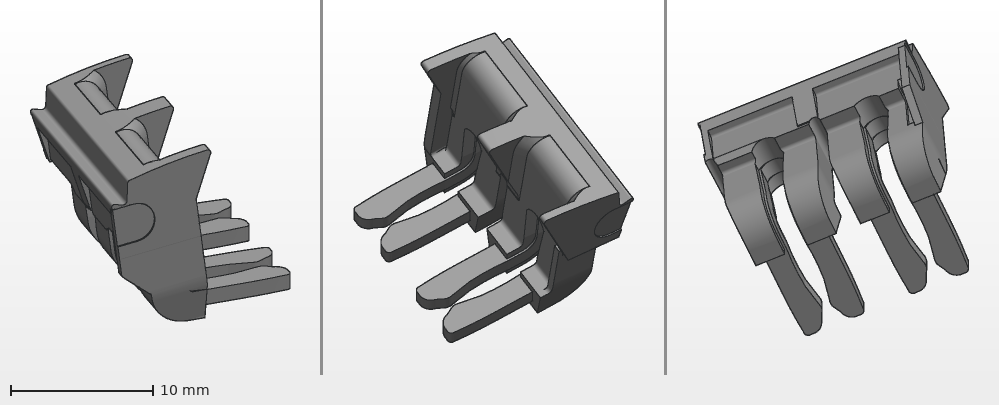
import cadquery as cq
import math

WIDTH = 16.0
PITCH = 8.07
POLE_X = 4.33
POLES = [POLE_X, POLE_X + PITCH]
LEAN = math.radians(7.1)
SLOPE = math.tan(LEAN)
SPAN = 40.0

WALL_BACK = 0.35
RIB_BACK = -0.58
PLATE_BACK = -1.02
LEG_FRONT = -3.89
PANEL_FRONT = -5.13
WALL_FRONT = -5.89

COVE_MID = 1 - math.sqrt(0.5)

BEND_R = 3.0
LEDGE_Z = 2.42
LEDGE_FILLET = 0.27
PANEL_BOTTOM = 6.07
PANEL_FILLET = 0.3
RECESS_FILLET = 0.18
PANEL_CHAMFER = 0.42
PANEL_TOP = 9.2
BELOW = -2.0
SLOT_HALF = 0.88
SLOT_FLARE = 0.22
SLOT_KNEE = 2.73
SLOT_SHOULDER = 5.8
SLOT_TOP = 6.48
GAP_HALF = 0.44
GAP_TOP = 6.43
TAPER_BLEND = 2.85
TAPER_START = 1.98
TAPER_END = -0.55
TAPER_SHOULDER = 0.07
TAPER = 0.49

END_WALL = 0.61
FAR_WALL = 0.92
FAR_WALL_FRONT = 0.62
MID_WALL = (7.1, 8.68)
RIB_TOP = 7.3
RIB_OVERLAP = 0.3
FLARE = 0.7
FAR_FLARE = 0.27
BAYS = [(END_WALL, MID_WALL[0], FLARE, FLARE), (MID_WALL[1], WIDTH - FAR_WALL, FLARE, FAR_FLARE)]
PANELS = [(END_WALL, MID_WALL[0]), (MID_WALL[1], WIDTH - FAR_WALL_FRONT)]

FAR_WALL_TOP = 9.8
FAR_WALL_SPLIT_Y = -5.0
FAR_WALL_CHIN_Z = 4.65
CHIN_CUT = 0.2
FAR_WALL_FOOT_Y = -4.2
FAR_WALL_FOOT_Z = 2.75
POCKET_X = 14.85
POCKET_DEPTH = 0.3
POCKET_TOP = 6.68
POCKET_BOTTOM = 3.23
MARK_CENTRE = (-5.48, 8.7)
MARK_R = 1.5
MARK_DEPTH = 0.12
BAY_BOTTOM = 3.6

BEAM_R = 1.4
BEAM_TOP = 12.63

WEDGE_REAR_FOOT = (-1.77, 6.3)
WEDGE_FOOT_RISE = 0.59
TIP_REAR = (0.22, 13.12)
TIP_ROUND = (0.18, 13.37)
TIP_TOP = (-0.06, 13.465)
BACK_BULGE = (-2.25, 13.08)
CREASE = (-4.4, 12.56)
BROW_TOP = (-5.83, 12.14)
BROW_ROUND = (-5.98, 12.06)
BROW_FRONT = (-6.03, 11.87)
GROOVE_REAR = (-6.09, 10.5)
GROOVE_ROUND = (-6.19, 10.33)
GROOVE_FRONT = (-6.45, 10.28)
LIP_TOP = (-7.0, 10.42)
LIP_ROUND = (-7.18, 10.38)
LIP_FRONT = (-7.23, 10.18)
WEDGE_FRONT_FOOT = (-6.0, 6.3)

SHEET_BOTTOM = 0.65
SHEET_TOP = 1.83
PRONG_OUTER = 2.42
PRONG_INNER = 0.71
PRONG_TIP = 6.81
PRONG_WAIST = (0.78, 1.6)
PRONG_NECK = (PRONG_INNER, 3.2)
BULGE_START = (0.405, 4.85)
BULGE_PEAK = (0.365, 5.15)
BULGE_END = (0.415, 5.43)
NOSE_START = (0.75, 6.05)
NOSE_ROUND = (1.1, 6.62)
NOSE_END = (1.55, PRONG_TIP)
CORNER_START = (1.9, PRONG_TIP)
CORNER_ROUND = (2.18, 6.74)
CORNER_END = (2.29, 6.45)
OUTER_BOW = (2.39, 4.8)
OUTER_SHOULDER = (PRONG_OUTER, 3.1)

BUS_BOTTOM = 7.2
BUS_TOP = 9.0

BEAM_Z = BEAM_TOP - BEAM_R
BEAM_Y = PLATE_BACK - SLOPE * BEAM_Z - BEAM_R / math.cos(LEAN)
BEND_Z = BEND_R
BEND_Y = LEG_FRONT - SLOPE * BEND_Z + BEND_R / math.cos(LEAN)
BEND_END = math.pi / 2 - LEAN
BEND_MID = BEND_END / 2


def leaning(offset, z):
    """Point at height z on the leaning face that crosses Z = 0 at Y = offset."""
    return (offset - SLOPE * z, z)


def side(x):
    """Sketch plane across X, with Y to the right and Z up."""
    return cq.Workplane("YZ", origin=(x, 0, 0))


def face_on():
    """Sketch plane that leans with the plate, with X to the right and height up."""
    origin_y = PANEL_FRONT - SLOPE * PANEL_BOTTOM
    normal = (0, -math.cos(LEAN), -math.sin(LEAN))
    return cq.Workplane(cq.Plane(origin=(0, origin_y, 0), xDir=(1, 0, 0), normal=normal))


def on_bend(radius, angle):
    """Point on a bend circle, turned by angle from straight down towards the front."""
    return (BEND_Y - radius * math.sin(angle), BEND_Z - radius * math.cos(angle))


def upper_block():
    """Beam, lip and walls as one wedge along the whole housing."""
    return (
        side(0)
        .moveTo(*WEDGE_REAR_FOOT)
        .lineTo(WEDGE_REAR_FOOT[0], WEDGE_REAR_FOOT[1] + WEDGE_FOOT_RISE)
        .lineTo(*TIP_REAR)
        .threePointArc(TIP_ROUND, TIP_TOP)
        .threePointArc(BACK_BULGE, CREASE)
        .lineTo(*BROW_TOP)
        .threePointArc(BROW_ROUND, BROW_FRONT)
        .lineTo(*GROOVE_REAR)
        .threePointArc(GROOVE_ROUND, GROOVE_FRONT)
        .lineTo(*LIP_TOP)
        .threePointArc(LIP_ROUND, LIP_FRONT)
        .lineTo(*WEDGE_FRONT_FOOT)
        .close()
        .extrude(WIDTH)
    )


def leg_block():
    """Legs, upright plate and panels before the slots are cut."""
    plate_foot = leaning(PLATE_BACK, LEDGE_Z)
    panel_y, panel_z = leaning(PANEL_FRONT, PANEL_BOTTOM)
    inner_y = leaning(LEG_FRONT, PANEL_BOTTOM)[0]
    inner_z = panel_z + SLOPE * (inner_y - panel_y)
    outline = (
        side(0)
        .moveTo(0, 0)
        .lineTo(0, LEDGE_Z)
        .lineTo(plate_foot[0] + LEDGE_FILLET, LEDGE_Z)
        .threePointArc(
            (plate_foot[0] + COVE_MID * LEDGE_FILLET, LEDGE_Z + COVE_MID * LEDGE_FILLET),
            leaning(PLATE_BACK, LEDGE_Z + LEDGE_FILLET),
        )
        .lineTo(*leaning(PLATE_BACK, PANEL_TOP))
        .lineTo(*leaning(PANEL_FRONT, PANEL_TOP))
        .lineTo(panel_y, panel_z)
        .lineTo(inner_y - PANEL_FILLET, inner_z - SLOPE * PANEL_FILLET)
        .threePointArc(
            (inner_y - COVE_MID * PANEL_FILLET, inner_z - COVE_MID * PANEL_FILLET),
            leaning(LEG_FRONT, inner_z - PANEL_FILLET),
        )
        .lineTo(*on_bend(BEND_R, BEND_END))
        .threePointArc(on_bend(BEND_R, BEND_MID), on_bend(BEND_R, 0))
        .close()
    )
    return outline.extrude(WIDTH)


def far_wall():
    """+X end wall, which reaches further back, forward and down than the others."""

    def wall(x, front_points):
        rear_points = [(0, LEDGE_Z), (0, WALL_BACK / SLOPE), leaning(WALL_BACK, FAR_WALL_TOP)]
        return side(x).polyline(front_points + rear_points).close().extrude(WIDTH - x)

    inside = (FAR_WALL_SPLIT_Y, FAR_WALL_TOP)
    foot = (FAR_WALL_FOOT_Y, FAR_WALL_FOOT_Z)
    chin_y, chin_z = leaning(WALL_FRONT, FAR_WALL_CHIN_Z)
    front_points = [
        inside,
        leaning(WALL_FRONT, FAR_WALL_TOP),
        (chin_y, chin_z),
        (chin_y + CHIN_CUT, chin_z - CHIN_CUT),
        foot,
    ]
    return wall(WIDTH - FAR_WALL_FRONT, front_points).union(wall(WIDTH - FAR_WALL, [inside, foot]))


def far_wall_cove():
    """Concave fillet between the ledge and the inner face of the +X end wall."""
    plate_y = leaning(PLATE_BACK, LEDGE_Z)[0]
    corner = cq.Workplane("XZ", origin=(WIDTH - FAR_WALL, 0, LEDGE_Z))
    return (
        corner
        .lineTo(0, FAR_FLARE)
        .threePointArc((-COVE_MID * FAR_FLARE, COVE_MID * FAR_FLARE), (-FAR_FLARE, 0))
        .close()
        .extrude(-plate_y)
    )


def core(x):
    """Outline of the rear of the beam and plate, rounded at the top."""
    tangent = (BEAM_Y + BEAM_R * math.cos(LEAN), BEAM_Z + BEAM_R * math.sin(LEAN))
    return (
        side(x)
        .moveTo(*leaning(PLATE_BACK, LEDGE_Z))
        .lineTo(*tangent)
        .threePointArc((BEAM_Y, BEAM_TOP), (BEAM_Y - BEAM_R, BEAM_Z))
        .lineTo(BEAM_Y - BEAM_R, LEDGE_Z)
        .close()
    )


def bay(start, end):
    """Open space behind the beam, between two walls."""
    rear_y = 2.0
    top_z = TIP_TOP[1] + 1
    behind = (
        side(start)
        .moveTo(CREASE[0], BAY_BOTTOM)
        .lineTo(rear_y, BAY_BOTTOM)
        .lineTo(rear_y, top_z)
        .lineTo(CREASE[0], top_z)
        .close()
        .extrude(end - start)
    )
    return behind.cut(core(start).extrude(end - start))


def flare(start, size, direction):
    """Flared foot around the beam, shrinking away from the wall at start."""
    foot = core(0).offset2D(size).extrude(size, taper=45)
    if direction < 0:
        foot = foot.mirror("YZ")
    return foot.translate((start, 0, 0))


def panel_recess(start, end):
    """Front recess that sets a panel back from the sloping underside of the beam."""
    y, z = leaning(PANEL_FRONT, PANEL_TOP)
    fillet_middle = (y - COVE_MID * RECESS_FILLET, z - COVE_MID * RECESS_FILLET)
    floor_z = PANEL_BOTTOM - PANEL_CHAMFER
    reach = 3.0
    return (
        side(start)
        .moveTo(*leaning(PANEL_FRONT, floor_z))
        .lineTo(y + SLOPE * RECESS_FILLET, z - RECESS_FILLET)
        .threePointArc(fillet_middle, (y - RECESS_FILLET, z))
        .lineTo(y - reach, z)
        .lineTo(y - reach, floor_z)
        .close()
        .extrude(end - start)
    )


def slot(centre, half, flare_width):
    """Slot between the two legs of a pole, round at the top."""
    wide = half + flare_width
    return (
        face_on()
        .moveTo(centre - half, BELOW)
        .lineTo(centre - half, SLOT_KNEE)
        .lineTo(centre - wide, SLOT_SHOULDER)
        .threePointArc((centre, SLOT_TOP), (centre + wide, SLOT_SHOULDER))
        .lineTo(centre + half, SLOT_KNEE)
        .lineTo(centre + half, BELOW)
        .close()
        .extrude(SPAN / 2, both=True)
    )


def pole_gap(centre):
    """Gap beside a pole: a round-topped slot that widens towards the leg tips."""
    wide = GAP_HALF + TAPER
    shoulder = GAP_HALF + TAPER_SHOULDER
    blend = (GAP_HALF + TAPER_SHOULDER / 4, (TAPER_BLEND + TAPER_START) / 2)
    return (
        face_on()
        .moveTo(centre - wide, BELOW)
        .lineTo(centre - wide, TAPER_END)
        .lineTo(centre - shoulder, TAPER_START)
        .threePointArc((centre - blend[0], blend[1]), (centre - GAP_HALF, TAPER_BLEND))
        .lineTo(centre - GAP_HALF, GAP_TOP - GAP_HALF)
        .threePointArc((centre, GAP_TOP), (centre + GAP_HALF, GAP_TOP - GAP_HALF))
        .lineTo(centre + GAP_HALF, TAPER_BLEND)
        .threePointArc((centre + blend[0], blend[1]), (centre + shoulder, TAPER_START))
        .lineTo(centre + wide, TAPER_END)
        .lineTo(centre + wide, BELOW)
        .close()
        .extrude(SPAN / 2, both=True)
    )


def first_leg_rib():
    """Small rib behind the outer edge of the first leg."""
    x = POLE_X - PITCH / 2 + GAP_HALF
    foot_y = leaning(RIB_BACK, LEDGE_Z)[0]
    return (
        side(x)
        .moveTo(foot_y + LEDGE_FILLET, LEDGE_Z)
        .threePointArc(
            (foot_y + COVE_MID * LEDGE_FILLET, LEDGE_Z + COVE_MID * LEDGE_FILLET),
            leaning(RIB_BACK, LEDGE_Z + LEDGE_FILLET),
        )
        .lineTo(*leaning(RIB_BACK, RIB_TOP))
        .lineTo(*leaning(PLATE_BACK - RIB_OVERLAP, RIB_TOP))
        .lineTo(*leaning(PLATE_BACK - RIB_OVERLAP, LEDGE_Z))
        .close()
        .extrude(END_WALL + FLARE - x)
    )


def chamfered_cut(start, end, back_offset, roof_z, floor_z):
    """Cut into the front whose roof has a 45 degree chamfer at the panel's front edge."""
    edge_y, edge_z = leaning(PANEL_FRONT + PANEL_CHAMFER, roof_z)
    back_y = leaning(back_offset, roof_z)[0]
    reach = 2.0
    points = [
        (edge_y, edge_z),
        (edge_y - reach, edge_z + reach),
        (edge_y - reach, floor_z),
        leaning(back_offset, floor_z),
        (back_y, edge_z - SLOPE * (edge_y - back_y)),
    ]
    return side(start).polyline(points).close().extrude(end - start)


def end_mark(x):
    """Shallow recess in an end face, round at the rear and open to the front."""
    y, z = MARK_CENTRE
    disc = side(x).center(y, z).circle(MARK_R).extrude(MARK_DEPTH)
    bar = side(x).center(y - MARK_R, z).rect(2 * MARK_R, 2 * MARK_R).extrude(MARK_DEPTH)
    return disc.union(bar).rotate((0, y, z), (1, y, z), math.degrees(LEAN))


envelope = upper_block().union(far_wall())
housing = envelope
for start, end, near, far in BAYS:
    housing = housing.cut(bay(start, end))
    housing = housing.union(flare(start, near, 1).intersect(envelope))
    housing = housing.union(flare(end, far, -1).intersect(envelope))
for start, end in PANELS:
    housing = housing.cut(panel_recess(start, end))
housing = housing.union(leg_block()).union(first_leg_rib()).union(far_wall_cove())
for centre in POLES:
    housing = housing.cut(slot(centre, SLOT_HALF, SLOT_FLARE))
for index in range(3):
    housing = housing.cut(pole_gap(POLE_X + PITCH * (index - 0.5)))
chamfer_back = PANEL_FRONT + PANEL_CHAMFER
chamfer_floor = PANEL_BOTTOM - PANEL_CHAMFER
housing = housing.cut(chamfered_cut(END_WALL, POLE_X, chamfer_back, PANEL_BOTTOM, chamfer_floor))
pocket_back = LEG_FRONT + POCKET_DEPTH
pocket_end = WIDTH - FAR_WALL_FRONT
housing = housing.cut(chamfered_cut(POCKET_X, pocket_end, pocket_back, POCKET_TOP, POCKET_BOTTOM))
housing = housing.cut(end_mark(0)).cut(end_mark(WIDTH - MARK_DEPTH))


def sheet():
    """Bent sheet across all four legs: flat at the bottom, upright inside the housing."""
    inner = BEND_R - SHEET_TOP
    outer = BEND_R - SHEET_BOTTOM

    def blade(radius):
        y, z = on_bend(radius, BEND_END)
        return leaning(y + SLOPE * z, BUS_TOP)

    return (
        side(POLES[0] - PRONG_OUTER)
        .moveTo(0, SHEET_BOTTOM)
        .lineTo(0, SHEET_TOP)
        .lineTo(*on_bend(inner, 0))
        .threePointArc(on_bend(inner, BEND_MID), on_bend(inner, BEND_END))
        .lineTo(*blade(inner))
        .lineTo(*blade(outer))
        .lineTo(*on_bend(outer, BEND_END))
        .threePointArc(on_bend(outer, BEND_MID), on_bend(outer, 0))
        .close()
        .extrude(PITCH + 2 * PRONG_OUTER)
    )


def prong(centre, hand):
    """One flat prong; hand is -1 left or +1 right of the pole centre."""

    def at(point):
        return (centre + hand * point[0], point[1])

    return (
        cq.Workplane("XY", origin=(0, 0, SHEET_BOTTOM))
        .moveTo(*at((PRONG_OUTER, 0)))
        .lineTo(*at((PRONG_INNER, 0)))
        .threePointArc(at(PRONG_WAIST), at(PRONG_NECK))
        .lineTo(*at(BULGE_START))
        .threePointArc(at(BULGE_PEAK), at(BULGE_END))
        .lineTo(*at(NOSE_START))
        .threePointArc(at(NOSE_ROUND), at(NOSE_END))
        .lineTo(*at(CORNER_START))
        .threePointArc(at(CORNER_ROUND), at(CORNER_END))
        .threePointArc(at(OUTER_BOW), at(OUTER_SHOULDER))
        .close()
        .extrude(SHEET_TOP - SHEET_BOTTOM)
    )


contact = sheet()
open_width = PITCH - 2 * PRONG_OUTER
contact = contact.cut(
    face_on()
    .center(POLE_X + PITCH / 2, BUS_BOTTOM - SPAN / 2)
    .rect(open_width, SPAN)
    .extrude(SPAN / 2, both=True)
)
for centre in POLES:
    contact = contact.cut(slot(centre, PRONG_INNER, SLOT_FLARE))
    for hand in (-1, 1):
        contact = contact.union(prong(centre, hand))

housing = housing.cut(contact)
result = cq.Compound.makeCompound([housing.val(), contact.val()])